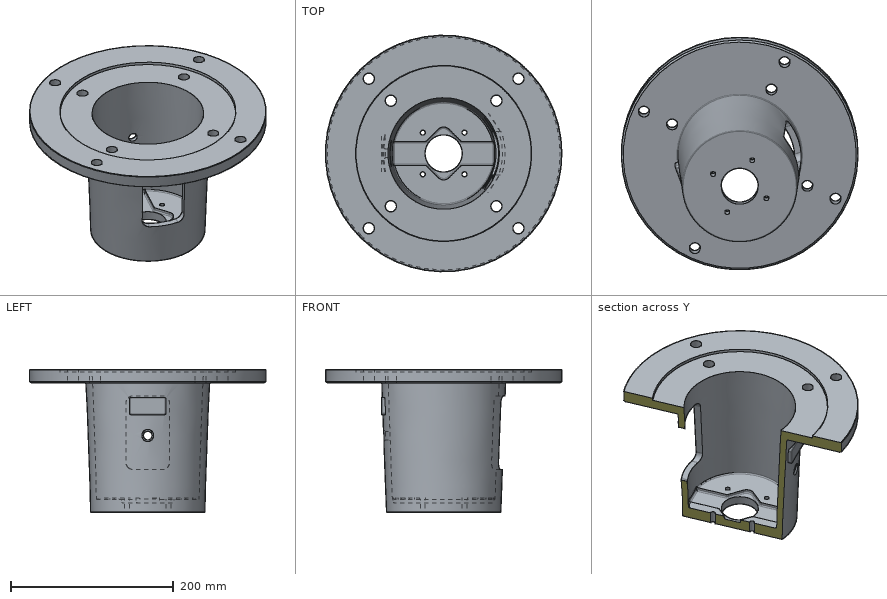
import cadquery as cq
import math

flange_diameter = 292.0
flange_radius = flange_diameter / 2
total_height = 176.0

flange_thickness = 16.5
flange_bottom = total_height - flange_thickness
flange_bottom_chamfer_height = 1.5
flange_bottom_chamfer_width = 2.3
flange_top_chamfer = 0.5
recess_radius = 108.7
recess_depth = 3.2
recess_floor = total_height - recess_depth
recess_wall_draft = 10.0

bolt_hole_radius = 6.7
outer_bolt_offset = 92.3
inner_bolt_offset = 65.0
pump_bolt_radius = 3.0
pump_bolt_offset = 25.7

body_bottom_radius = 70.7
body_top_radius = 76.5
body_bottom_fillet = 1.0
root_fillet = 1.0
cavity_floor_radius = 63.5
cavity_top_radius = 69.0
floor_thickness = 16.0
floor_fillet = 1.5

pilot_radius = 22.8
channel_depth = 4.5
channel_half_width = 14.5
channel_half_length = 62.5
channel_draft = 5.0
channel_bottom_fillet = 1.5
channel_corner_fillet = 3.0
diamond_reach = 36.5
diamond_nose_radius = 9.3

window_width = 53.7
window_bottom = 53.0
window_top = 143.7
window_corner_radius = 8.8

access_height = 94.5
access_radius = 5.3
access_rim_radius = 7.5

pad_face_distance = 76.8
pad_width = 45.0
pad_height = 21.5
pad_center_height = 131.2
pad_corner_radius = 2.3
pad_edge_fillet = 1.2


def cone(bottom_radius, top_radius, bottom, top):
    """Upright cone frustum on the Z axis between two heights."""
    profile = [(0, bottom), (bottom_radius, bottom), (top_radius, top), (0, top)]
    return cq.Workplane("XZ").polyline(profile).close().revolve(360, (0, 0, 0), (0, 1, 0))


def square_holes(offset, radius):
    """Four upright through holes on the corners of a square."""
    corners = cq.Workplane("XY").rect(2 * offset, 2 * offset, forConstruction=True).vertices()
    return corners.circle(radius).extrude(total_height)


def make_flange():
    """Round flange with chamfered rims and a recess whose wall leans outward."""
    chamfer_top = flange_bottom + flange_bottom_chamfer_height
    bottom_radius = flange_radius - flange_bottom_chamfer_width
    chamfered_rim = cone(bottom_radius, flange_radius, flange_bottom, chamfer_top)
    plate = cq.Workplane("XY").workplane(offset=chamfer_top).circle(flange_radius)
    plate = plate.extrude(total_height - chamfer_top).faces(">Z").chamfer(flange_top_chamfer)
    flange = chamfered_rim.union(plate)
    wall_spread = recess_depth * math.tan(math.radians(recess_wall_draft))
    return flange.cut(cone(recess_radius - wall_spread, recess_radius, recess_floor, total_height))


def make_body():
    """Solid tapered housing below the flange."""
    body = cone(body_bottom_radius, body_top_radius, 0, flange_bottom)
    return body.faces("<Z").edges().fillet(body_bottom_fillet)


def make_name_pad():
    """Rounded rectangular pad reaching from the axis out past the -X wall."""
    outline = cq.Workplane("YZ").center(0, pad_center_height).rect(pad_width, pad_height)
    pad = outline.extrude(-pad_face_distance).edges("|X").fillet(pad_corner_radius)
    return pad.faces("<X").edges().fillet(pad_edge_fillet)


def make_cavity():
    """Tapered space inside the housing, rounded where it meets the floor."""
    cavity = cone(cavity_floor_radius, cavity_top_radius, floor_thickness, total_height)
    return cavity.faces("<Z").edges().fillet(floor_fillet)


def make_channel():
    """Drafted floor recess, whose straight ends also cut through the floor fillet."""
    floor = cq.Workplane("XY").workplane(offset=floor_thickness)
    bar_length = 2 * channel_half_length
    bar_width = 2 * channel_half_width
    bar = floor.rect(bar_length, bar_width).extrude(-channel_depth, taper=channel_draft)
    end_clearance = floor.rect(bar_length, bar_width).extrude(floor_fillet)

    diamond_side = math.sqrt(2) * diamond_reach
    diamond = floor.transformed(rotate=(0, 0, 45)).rect(diamond_side, diamond_side)
    diamond = diamond.extrude(-channel_depth, taper=channel_draft)
    diamond = diamond.edges("not #Z").edges(">Y or <Y").fillet(diamond_nose_radius)

    inner_corner_zone = cq.selectors.BoxSelector(
        (-diamond_reach, -channel_half_width, 0),
        (diamond_reach, channel_half_width, floor_thickness),
    )
    recess = bar.union(diamond)
    recess = recess.edges("not #Z").edges(inner_corner_zone).fillet(channel_corner_fillet)
    recess = recess.faces("<Z").edges().fillet(channel_bottom_fillet)
    return recess.union(end_clearance)


def make_window():
    """Rounded rectangular opening running outward along +X."""
    outline = cq.Workplane("YZ").center(0, (window_bottom + window_top) / 2)
    window = outline.rect(window_width, window_top - window_bottom).extrude(flange_radius)
    return window.edges("|X").fillet(window_corner_radius)


def make_access_hole():
    """Horizontal hole running outward along -X, with a 90 degree countersunk mouth."""
    hole = cq.Workplane("YZ").center(0, access_height).circle(access_radius).extrude(-flange_radius)
    body_spread = body_top_radius - body_bottom_radius
    wall_radius = body_bottom_radius + body_spread * access_height / flange_bottom
    countersink = cq.Solid.makeCone(
        access_rim_radius,
        0,
        access_rim_radius,
        cq.Vector(-wall_radius, 0, access_height),
        cq.Vector(1, 0, 0),
    )
    return hole.union(cq.Workplane(countersink))


def make_shell():
    """Solid housing and flange joined, with a small fillet in the corner between them."""
    shell = make_body().union(make_flange())
    corner_zone = cq.selectors.BoxSelector(
        (-recess_radius, -recess_radius, flange_bottom - root_fillet),
        (recess_radius, recess_radius, flange_bottom + root_fillet),
        boundingbox=True,
    )
    return shell.edges(corner_zone).fillet(root_fillet)


result = make_shell().union(make_name_pad())
result = result.cut(make_cavity()).cut(make_channel())
result = result.cut(cq.Workplane("XY").circle(pilot_radius).extrude(total_height))
result = result.cut(square_holes(outer_bolt_offset, bolt_hole_radius))
result = result.cut(square_holes(inner_bolt_offset, bolt_hole_radius))
result = result.cut(square_holes(pump_bolt_offset, pump_bolt_radius))
result = result.cut(make_window()).cut(make_access_hole())